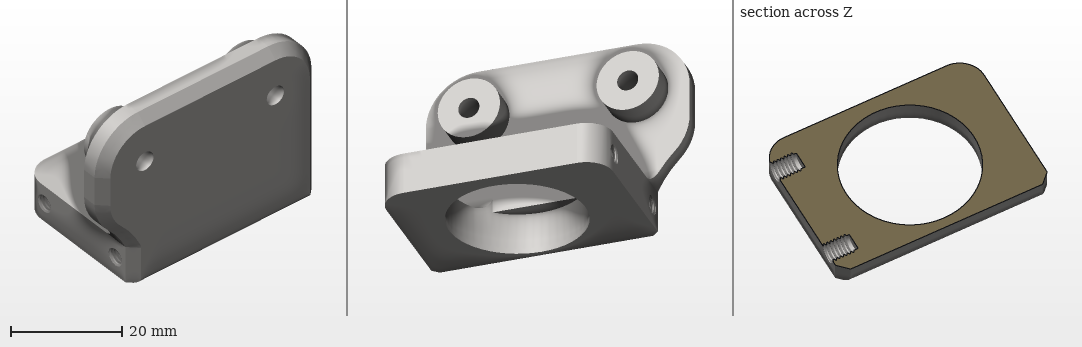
import cadquery as cq
import math

width = 50.3
height = 37.35
depth = 31.0
plate_thickness = 5.0
plate_front_x = depth - plate_thickness
corner_radius = 10.0
back_chamfer = 2.0
left_y = width / 2
right_y = -width / 2
boss_z = height - corner_radius

base_thickness = 8.05
base_right_y = -18.0
base_corner_radius = 5.05
ring_hole_diameter = 26.0
ring_hole_x = 16.0
ring_hole_y = 4.1
inner_fillet = 3.0
bottom_back_round = 1.15
trim_depth = 5.05

boss_diameter = 11.85
boss_length = 5.05
boss_hole_diameter = 4.0
boss_ys = (left_y - corner_radius, right_y + corner_radius)

shoulder_radius = 10.05
shoulder_z = 21.2
shoulder_turn = math.radians(45)

screw_spacing = 20.1
first_screw_x = 5.8
screw_xs = (first_screw_x, first_screw_x + screw_spacing)
screw_z = base_thickness / 2
thread_minor_diameter = 3.3
thread_major_diameter = 4.1
thread_pitch = 0.7
screw_hole_depth = 6.05
thread_turns = 8
thread_root = 0.5
thread_crest = 0.1
thread_overlap = 0.05


def shoulder_at(angle):
    """Point on the shoulder arc after turning inward by the given angle."""
    y = right_y + shoulder_radius * (1 - math.cos(angle))
    z = shoulder_z - shoulder_radius * math.sin(angle)
    return (y, z)


def plate_outline(x):
    """Closed plate outline at x, carried below the base so that the bottom can be trimmed flat."""
    arc_offset = corner_radius * (1 - math.sqrt(0.5))
    return (
        cq.Workplane("YZ", origin=(x, 0, 0))
        .moveTo(left_y, -trim_depth)
        .lineTo(left_y, boss_z)
        .threePointArc((left_y - arc_offset, height - arc_offset), (left_y - corner_radius, height))
        .lineTo(right_y + corner_radius, height)
        .threePointArc((right_y + arc_offset, height - arc_offset), (right_y, boss_z))
        .lineTo(right_y, shoulder_z)
        .threePointArc(shoulder_at(shoulder_turn / 2), shoulder_at(shoulder_turn))
        .tangentArcPoint((base_right_y, base_thickness), relative=False)
        .lineTo(base_right_y, -trim_depth)
        .close()
    )


def make_plate():
    """Plate whose back outline is bevelled at 45 degrees, except along the flat bottom."""
    straight_part = plate_outline(plate_front_x).extrude(plate_thickness - back_chamfer)
    bevelled_part = plate_outline(depth - back_chamfer).extrude(back_chamfer, taper=45)
    below = cq.Workplane("XY").box(2 * depth, 2 * width, trim_depth, centered=(False, True, False))
    plate = straight_part.union(bevelled_part).cut(below.translate((0, 0, -trim_depth)))
    round_corner = (
        cq.Workplane("XZ", origin=(0, left_y, 0))
        .moveTo(depth, 0)
        .lineTo(depth - bottom_back_round, 0)
        .radiusArc((depth, bottom_back_round), -bottom_back_round)
        .close()
        .extrude(width)
    )
    return plate.cut(round_corner)


def make_base():
    base = cq.Workplane("XY").box(
        plate_front_x, left_y - base_right_y, base_thickness, centered=False
    ).translate((0, base_right_y, 0))
    return base.edges("|Z and <X").fillet(base_corner_radius)


def make_inner_fillet():
    """Hollow fillet between base and plate, ended on the -Y side by the neck outline."""
    corner = (plate_front_x, base_thickness)
    fillet = (
        cq.Workplane("XZ", origin=(0, left_y, 0))
        .moveTo(*corner)
        .lineTo(plate_front_x - inner_fillet, base_thickness)
        .radiusArc((plate_front_x, base_thickness + inner_fillet), -inner_fillet)
        .close()
        .extrude(width)
    )
    return fillet.intersect(plate_outline(plate_front_x - inner_fillet).extrude(inner_fillet))


def make_ring_hole():
    """Through hole in the base; above the base it stops at the front face of the plate."""
    ring_hole = (
        cq.Workplane("XY")
        .center(ring_hole_x, ring_hole_y)
        .circle(ring_hole_diameter / 2)
        .extrude(base_thickness + inner_fillet)
    )
    under_plate = cq.Workplane("XY").box(depth, width, base_thickness, centered=(False, True, False))
    before_plate = cq.Workplane("XY").box(plate_front_x, width, height, centered=(False, True, False))
    return ring_hole.intersect(under_plate.union(before_plate))


def at_bosses(diameter, length):
    """Cylinders along +X on both boss axes, starting at the boss face."""
    return (
        cq.Workplane("YZ", origin=(plate_front_x - boss_length, 0, 0))
        .pushPoints([(y, boss_z) for y in boss_ys])
        .circle(diameter / 2)
        .extrude(length)
    )


def cut_tapped_hole(body, x):
    """Cut a blind hole with a helical thread into the -Y side of the base."""
    bore = cq.Workplane("XY").circle(thread_minor_diameter / 2).extrude(screw_hole_depth)
    minor_radius = thread_minor_diameter / 2 - thread_overlap
    major_radius = thread_major_diameter / 2
    half_root = thread_root / 2
    helix = cq.Wire.makeHelix(thread_pitch, thread_turns * thread_pitch, minor_radius)
    groove = (
        cq.Workplane("XZ")
        .moveTo(minor_radius, -half_root)
        .lineTo(major_radius, -thread_crest / 2)
        .lineTo(major_radius, thread_crest / 2)
        .lineTo(minor_radius, half_root)
        .close()
        .sweep(cq.Workplane(obj=helix), isFrenet=True)
    )
    for cutter in (bore, groove):
        placed = cutter.translate((0, 0, -thread_pitch)).rotate((0, 0, 0), (1, 0, 0), -90)
        body = body.cut(placed.translate((x, base_right_y, screw_z)))
    return body


result = make_plate().union(make_base()).union(make_inner_fillet())
result = result.cut(make_ring_hole())
result = result.union(at_bosses(boss_diameter, boss_length))
result = result.cut(at_bosses(boss_hole_diameter, boss_length + plate_thickness))
for screw_x in screw_xs:
    result = cut_tapped_hole(result, screw_x)